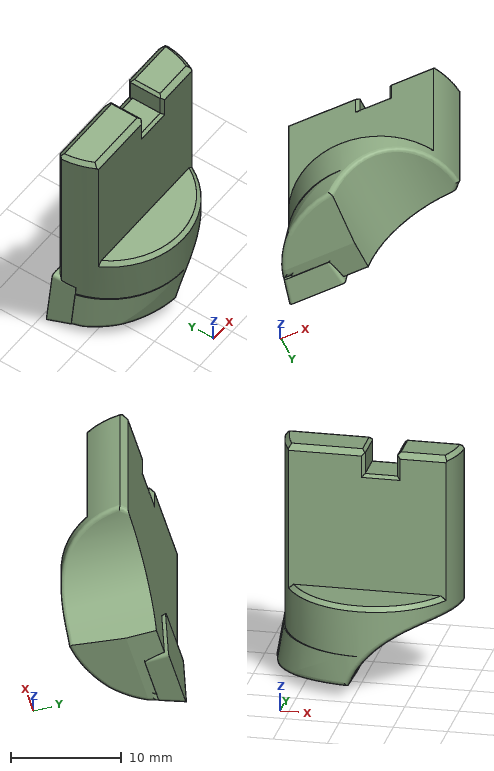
import cadquery as cq
import math

TOTAL_HEIGHT = 22.5
SHANK_RADIUS = 8.25
BACK_CHAMFER = 0.6
RIM_CHAMFER = 0.4
FRONT_CHAMFER = 0.52

FLAT_DEPTH = 3.95
SHOULDER_HEIGHT = 9.0

SLOT_CENTER = 1.24
SLOT_WIDTH = 2.97
SLOT_DEPTH = 2.3
SLOT_CHAMFER = 0.3
SLOT_BACK_CHAMFER = 0.4

RELIEF_CENTER_X = 8.05
RELIEF_RADIUS = 9.7
RELIEF_TOP = 7.27

HEAD_TOP = 4.23
HEAD_BOTTOM = 0.52
HEAD_TOP_SHIFT = 0.14
HEAD_BOTTOM_SHIFT = 0.76
CLEARANCE_RADIUS = 9.79
CLEARANCE_CENTER_X = -0.05
HEEL_START = 2.85
HEEL_ANGLE = 7.5
EDGE_FILLET = 0.4

INSERT_SIDE = 5.62
INSERT_ANGLE = 80.0
INSERT_THICKNESS = 2.38
INSERT_RELIEF = 11.0
INSERT_PROUD = 0.38
INSERT_NOSE = 0.35
POCKET_OPENING = 0.45
INSERT_LEFT = -9.22

TOLERANCE = 0.002
SPAN = 2 * TOTAL_HEIGHT


def box(x0, x1, y0, y1, z0, z1):
    return cq.Workplane("XY").box(x1 - x0, y1 - y0, z1 - z0, centered=False).translate((x0, y0, z0))


def cylinder(center_x, center_y, radius, z0, z1):
    return cq.Workplane("XY", origin=(center_x, center_y, z0)).circle(radius).extrude(z1 - z0)


def back_wedge(chamfer):
    """Cutter for the edge between the flat back and the shank top."""
    profile = [(0, TOTAL_HEIGHT - chamfer), (0, TOTAL_HEIGHT), (-chamfer, TOTAL_HEIGHT)]
    return cq.Workplane("YZ").polyline(profile).close().extrude(SPAN, both=True)


def front_half():
    return box(-SPAN, SPAN, -SPAN, 0, -SPAN, SPAN)


def make_shank():
    upper = cylinder(0, 0, SHANK_RADIUS, 0, TOTAL_HEIGHT).faces(">Z").chamfer(RIM_CHAMFER)
    upper = upper.intersect(box(-SPAN, SPAN, -FLAT_DEPTH, 0, 0, TOTAL_HEIGHT))
    upper = upper.faces(">Z").edges("<Y").chamfer(FRONT_CHAMFER)
    shoulder = cylinder(0, 0, SHANK_RADIUS, 0, SHOULDER_HEIGHT).faces(">Z").chamfer(RIM_CHAMFER)
    shank = upper.union(shoulder.intersect(front_half()))
    return chamfer_back_corners(shank.cut(back_wedge(BACK_CHAMFER)))


def chamfer_back_corners(shank):
    for side in (-1, 1):
        corner = [
            (side * SHANK_RADIUS, -BACK_CHAMFER),
            (side * SHANK_RADIUS, 0),
            (side * (SHANK_RADIUS - BACK_CHAMFER), 0),
        ]
        shank = shank.cut(cq.Workplane("XY").polyline(corner).close().extrude(TOTAL_HEIGHT))
    return shank


def make_slot():
    """Top slot together with the bevels along its edges."""
    half = SLOT_WIDTH / 2
    floor = TOTAL_HEIGHT - SLOT_DEPTH
    slot = box(-half, half, -FLAT_DEPTH, 0, floor, TOTAL_HEIGHT)
    flare = half + SLOT_CHAMFER
    top_bevel = [
        (-half, TOTAL_HEIGHT - SLOT_CHAMFER),
        (half, TOTAL_HEIGHT - SLOT_CHAMFER),
        (flare, TOTAL_HEIGHT),
        (-flare, TOTAL_HEIGHT),
    ]
    slot = slot.union(cq.Workplane("XZ").polyline(top_bevel).close().extrude(FLAT_DEPTH))
    slot = slot.union(slot_mouth(-FLAT_DEPTH, 1, SLOT_CHAMFER, SLOT_CHAMFER))
    slot = slot.union(slot_mouth(0, -1, SLOT_BACK_CHAMFER, BACK_CHAMFER))
    return slot.translate((SLOT_CENTER, 0, 0))


def slot_mouth(face_y, inward, wall_chamfer, floor_chamfer):
    """Flared slot end: wide at face_y and narrowing inward to the slot's own section."""
    half = SLOT_WIDTH / 2
    floor = TOTAL_HEIGHT - SLOT_DEPTH
    flare = half + wall_chamfer
    walls = [
        (-flare, face_y),
        (flare, face_y),
        (half, face_y + inward * wall_chamfer),
        (-half, face_y + inward * wall_chamfer),
    ]
    bottom = floor - floor_chamfer
    wall_cut = (
        cq.Workplane("XY", origin=(0, 0, bottom)).polyline(walls).close()
        .extrude(TOTAL_HEIGHT - bottom)
    )
    wall_cut = wall_cut.union(box(-half, half, -FLAT_DEPTH, 0, bottom, TOTAL_HEIGHT))
    ramp = [
        (face_y, bottom),
        (face_y, TOTAL_HEIGHT),
        (face_y + inward * floor_chamfer, TOTAL_HEIGHT),
        (face_y + inward * floor_chamfer, floor),
    ]
    ramp_cut = cq.Workplane("YZ").polyline(ramp).close().extrude(flare, both=True)
    return wall_cut.intersect(ramp_cut)


def make_flank():
    """Leaning clearance flank, trimmed by a wider upright cylinder."""
    flank = (
        cq.Workplane("XY", origin=(0, 0, HEAD_TOP))
        .center(-HEAD_TOP_SHIFT, 0).circle(SHANK_RADIUS)
        .workplane(offset=-HEAD_TOP)
        .center(-(HEAD_BOTTOM_SHIFT - HEAD_TOP_SHIFT) * HEAD_TOP / (HEAD_TOP - HEAD_BOTTOM), 0)
        .circle(SHANK_RADIUS)
        .loft(ruled=True)
    )
    clearance_y = CLEARANCE_RADIUS - SHANK_RADIUS
    trim = cylinder(CLEARANCE_CENTER_X, clearance_y, CLEARANCE_RADIUS, 0, HEAD_TOP)
    insert_front = INSERT_PROUD - INSERT_THICKNESS
    return flank.intersect(trim).intersect(box(-SPAN, SPAN, -SPAN, insert_front, 0, HEAD_TOP))


def cut_bottom(body):
    rise = (SPAN - HEEL_START) * math.tan(math.radians(HEEL_ANGLE))
    profile = [
        (SPAN, HEAD_BOTTOM),
        (-HEEL_START, HEAD_BOTTOM),
        (-SPAN, HEAD_BOTTOM + rise),
        (-SPAN, -SPAN),
        (SPAN, -SPAN),
    ]
    return body.cut(cq.Workplane("YZ").polyline(profile).close().extrude(SPAN, both=True))


def cut_relief(body):
    center_z = RELIEF_TOP - RELIEF_RADIUS
    tool = (
        cq.Workplane("XZ").center(RELIEF_CENTER_X, center_z).circle(RELIEF_RADIUS)
        .extrude(SPAN, both=True)
    )
    return body.cut(tool)


def relief_gap(point):
    """Distance of a point from the concave relief."""
    center_z = RELIEF_TOP - RELIEF_RADIUS
    return abs(math.hypot(point.x - RELIEF_CENTER_X, point.z - center_z) - RELIEF_RADIUS)


def bottom_gap(point):
    """Height of a point above or below the bottom of the head."""
    heel_run = max(0, -point.y - HEEL_START)
    return abs(point.z - HEAD_BOTTOM - heel_run * math.tan(math.radians(HEEL_ANGLE)))


def round_lower_edges(body):
    """Round the outer edges around the concave relief and around the bottom."""
    rim = []
    for edge in body.edges().vals():
        middle = edge.positionAt(0.5)
        outside = math.hypot(middle.x, middle.y) > SHANK_RADIUS - EDGE_FILLET
        if outside and min(relief_gap(middle), bottom_gap(middle)) < TOLERANCE:
            rim.append(edge)
    return body.newObject(rim).fillet(EDGE_FILLET)


def make_insert():
    """Rhombic cutting insert with its rake face proud of the flat back."""
    angle = math.radians(INSERT_ANGLE)
    lean = INSERT_SIDE * math.cos(angle)
    height = INSERT_SIDE * math.sin(angle)
    corner_x = INSERT_LEFT + INSERT_NOSE - INSERT_NOSE / math.tan(angle / 2)
    outline = [
        (corner_x, 0),
        (corner_x + INSERT_SIDE, 0),
        (corner_x + INSERT_SIDE + lean, height),
        (corner_x + lean, height),
    ]
    plate = (
        cq.Workplane("XZ", origin=(0, INSERT_PROUD, 0)).polyline(outline).close()
        .extrude(INSERT_THICKNESS, taper=INSERT_RELIEF)
    )
    mid_y = INSERT_PROUD - INSERT_THICKNESS / 2
    corners = [edge for edge in plate.edges().vals() if abs(edge.Center().y - mid_y) < TOLERANCE]
    return plate.newObject(corners).fillet(INSERT_NOSE)


def make_pocket(insert_body):
    """Seat of the insert, open toward -X so that the insert's side face stays exposed."""
    return insert_body.union(insert_body.translate((-POCKET_OPENING, 0, 0)))


insert = make_insert()
holder = make_shank().cut(make_slot()).union(make_flank())
holder = cut_relief(cut_bottom(holder))
holder = round_lower_edges(holder)
holder = holder.cut(make_pocket(insert))

result = cq.Compound.makeCompound([holder.val(), insert.val()])